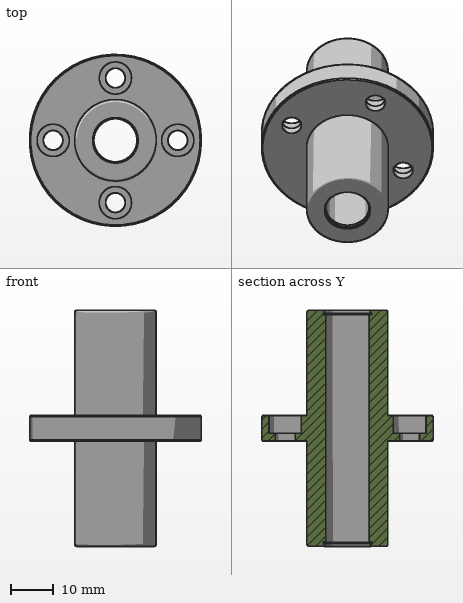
import cadquery as cq

length = 55.0
body_diameter = 19.0
body_edge_radius = 0.6

bore_diameter = 10.0
lip_diameter = 10.6
lip_thickness = 0.7
recess_diameter = 11.2
bore_inset = 1.05

flange_diameter = 40.0
flange_thickness = 6.0
flange_chamfer = 0.3

hole_count = 4
hole_circle_diameter = 29.0
hole_diameter = 4.5
counterbore_diameter = 7.5
counterbore_depth = 4.1


def centered_cylinder(diameter, height):
    """Cylinder on the Z axis, centred on the origin."""
    return cq.Workplane("XY").cylinder(height, diameter / 2)


def make_sleeve():
    return centered_cylinder(body_diameter, length).edges("%CIRCLE").fillet(body_edge_radius)


def make_flange():
    flange = centered_cylinder(flange_diameter, flange_thickness)
    flange = flange.edges("%CIRCLE").chamfer(flange_chamfer)
    return (
        flange.faces(">Z")
        .workplane(origin=(0, 0, 0))
        .polarArray(hole_circle_diameter / 2, 0, 360, hole_count)
        .cboreHole(hole_diameter, counterbore_diameter, counterbore_depth)
    )


def make_bore_cutter():
    """Half section of the bore, in (radius, height), turned about the Z axis."""
    end = length / 2
    recess_end = end - lip_thickness
    step = end - bore_inset
    upper_half = [
        (bore_diameter / 2, step),
        (recess_diameter / 2, step),
        (recess_diameter / 2, recess_end),
        (lip_diameter / 2, recess_end),
        (lip_diameter / 2, end),
        (0, end),
    ]
    lower_half = [(radius, -height) for radius, height in reversed(upper_half)]
    section = cq.Workplane("XZ").polyline(upper_half + lower_half).close()
    return section.revolve(360, (0, 0), (0, 1))


result = make_sleeve().union(make_flange()).cut(make_bore_cutter())